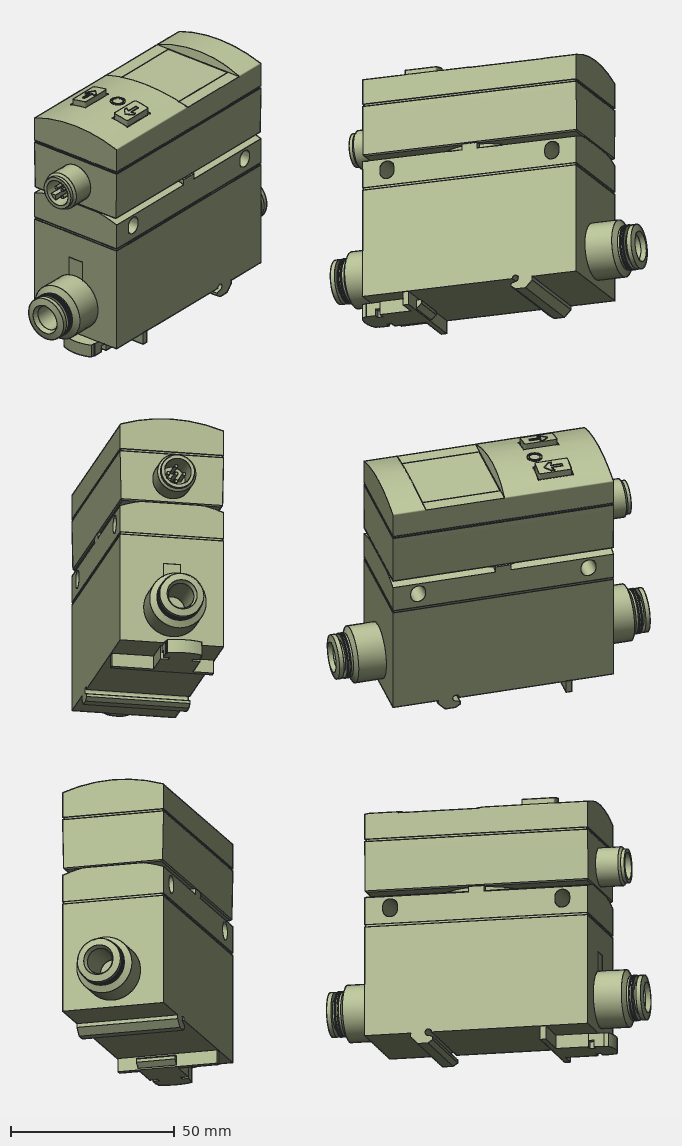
import cadquery as cq
import math


WIDTH = 32.3
LENGTH = 70.2
OVERALL_LENGTH = 99.8
BASE_TOP = 34.1
JOINT_GROOVE = 0.7
BASE_GROOVE_DEPTH = 0.2
CAP_GROOVE_DEPTH = 0.4
TOP_BLOCK_BOTTOM = 45.1
TOP_BLOCK_CHAMFER = 0.4
TAPER_START = 59.3
TAPER = 0.3
CAP_BOTTOM = 61.7
CAP_CREST = 72.3
DOME_RADIUS = 49.2
CAP_EDGE_FILLET = 0.4

GAP_CREST = 46.0
HUB_DIAMETER = 28.9
WEB_LENGTH = 5.0

SLOT_WIDTH = 4.7
SLOT_HEIGHT = 5.6
SLOT_PITCH = 54.2
SLOT_Z = 39.7

WINDOW_FLOOR = 69.5
WINDOW_FRONT = -0.4
WINDOW_BACK = 24.6
WINDOW_LEAN = 0.8
PANE_WIDTH = 23.3
PANE_MARGIN = 0.15
PANE_DEPTH = 0.1

BUTTON_X = 8.2
BUTTON_Y = -18.2
BUTTON_WIDTH = 5.2
BUTTON_LENGTH = 10.4
BUTTON_RISE = 1.7
BUTTON_CORNER = 0.5
BUTTON_CLEARANCE = 0.4
BUTTON_FLOOR = 70.5
ARROW_LENGTH = 5.8
ARROW_HEAD = 3.6
ARROW_STEM = 0.9
ARROW_BARB_START = 2.2
ARROW_BARB_END = 2.9
ARROW_DEPTH = 0.2
LAMP_Y = -14.6
LAMP_OUTER = 4.6
LAMP_INNER = 3.4
LAMP_GROOVE_FLOOR = 72.0

FITTING_Z = 11.0
FITTING_LENGTH = (OVERALL_LENGTH - LENGTH) / 2
BARREL_DIAMETER = 17.7
BARREL_LENGTH = 8.8
CONE_END = 9.9
COLLAR_DIAMETER = 13.6
RING_DIAMETER = 14.0
RING_STARTS = (10.6, 11.5)
RING_WIDTH = 0.4
NECK_DIAMETER = 9.8
NECK_LENGTH = 1.1
FLANGE_LENGTH = 1.9
FLANGE_DIAMETER = 13.8
FLANGE_CROWN = 0.5
BORE_DIAMETER = 8.0
BORE_MOUTH = 9.4
MOUTH_DEPTH = 1.5

LABEL_WIDTH = 5.3
LABEL_TOP = 25.5
LABEL_DEPTH = 0.1
LABEL_OVERLAP = 1.0

PLUG_Z = 52.6
PLUG_DIAMETER = 12.0
PLUG_LENGTH = 8.8
PLUG_BODY_LENGTH = 7.0
PLUG_CONE_END = 7.7
PLUG_TIP_DIAMETER = 10.5
SOCKET_DIAMETER = 8.3
PIN_DIAMETER = 1.0
PIN_LENGTH = 6.4
PIN_OFFSET = 2.45
KEY_LENGTH = 7.4
KEY_X = -1.9
KEY_Z = -2.0

HOOK_BACK = 20.7
HOOK_FRONT = 13.7
HOOK_HEIGHT = 3.4
HOOK_SHANK = 1.2
HOOK_BACK_BEVEL = 2.2
HOOK_FRONT_BEVEL = 1.5
HOOK_TIP_TOP = 1.5
HOOK_TIP_BOTTOM = 2.4
HOOK_RELIEF_DIAMETER = 2.0
HOOK_RELIEF_Y = 15.1

SLIDE_HEIGHT = 4.2
BAR_WIDTH = 31.8
BAR_BACK = -20.1
BAR_THICKNESS = 1.8
TAB_X = 3.3
STEM_WIDTH = 12.4
TAB_WIDTH = 11.4
TAB_BACK = -32.0
TAB_SIDE_END = -36.8
TAB_STEP = 0.3
TAB_CORNER_Y = -38.1
TAB_END = -39.3
NOTCH_LENGTH = 1.6
NOTCH_HEIGHT = 2.1
NOTCH_DEPTH = 2.0
NOSE_REACH = 1.7
NOSE_BEVEL = 0.3
NOSE_TOP = 0.9
NOSE_TIP_BOTTOM = 2.2
NOSE_ROOT_BOTTOM = 3.7

HALF_WIDTH = WIDTH / 2
FRONT = -LENGTH / 2


def block(width, length, bottom, top):
    """Box centred on X and Y between two heights."""
    return cq.Workplane("XY").workplane(offset=bottom).rect(width, length).extrude(top - bottom)


def box_between(x0, x1, y0, y1, z0, z1):
    return cq.Workplane("XY").box(x1 - x0, y1 - y0, z1 - z0, centered=False).translate((x0, y0, z0))


def dome_height(crest, x):
    """Height of the dome surface at a distance x from its crest line."""
    return crest - DOME_RADIUS + math.sqrt(DOME_RADIUS**2 - x**2)


def domed_block(bottom, crest):
    """Full-size block whose top is a shallow cylinder along Y."""
    edge = dome_height(crest, HALF_WIDTH)
    return (
        cq.Workplane("XZ")
        .moveTo(-HALF_WIDTH, bottom)
        .lineTo(HALF_WIDTH, bottom)
        .lineTo(HALF_WIDTH, edge)
        .threePointArc((0, crest), (-HALF_WIDTH, edge))
        .close()
        .extrude(LENGTH / 2, both=True)
    )


def cylinder_to_front(diameter, z, start, end, x=0):
    """Cylinder along Y, measured outward from the front face of the housing."""
    return (
        cq.Workplane("XZ", origin=(x, FRONT - start, z)).circle(diameter / 2).extrude(end - start)
    )


def turned(profile, z):
    """Turn (radius, distance from the front face) points about an axis along Y."""
    points = [(radius, FRONT - distance) for radius, distance in profile]
    return (
        cq.Workplane("XY").polyline(points).close()
        .revolve(360, (0, 0, 0), (0, 1, 0))
        .translate((0, 0, z))
    )


def make_electronics_block():
    profile = [
        (HALF_WIDTH - TAPER, TOP_BLOCK_BOTTOM),
        (HALF_WIDTH, TAPER_START),
        (HALF_WIDTH, CAP_BOTTOM - JOINT_GROOVE),
        (-HALF_WIDTH, CAP_BOTTOM - JOINT_GROOVE),
        (-HALF_WIDTH, TAPER_START),
        (-HALF_WIDTH + TAPER, TOP_BLOCK_BOTTOM),
    ]
    electronics = cq.Workplane("XZ").polyline(profile).close().extrude(LENGTH / 2, both=True)
    return electronics.faces("<Z").chamfer(TOP_BLOCK_CHAMFER)


def make_joint(bottom, depth):
    """Inset layer that forms a shadow groove around the housing."""
    inset = 2 * depth
    return block(WIDTH - inset, LENGTH - inset, bottom, bottom + JOINT_GROOVE)


def make_middle_block():
    """Block with a domed top, a swivel hub and a full-width web under the electronics block."""
    bottom = BASE_TOP + JOINT_GROOVE
    below_gap = domed_block(bottom, GAP_CREST)
    hub = (
        cq.Workplane("XY").workplane(offset=bottom)
        .circle(HUB_DIAMETER / 2).extrude(TOP_BLOCK_BOTTOM - bottom)
    )
    web = block(WIDTH, WEB_LENGTH, bottom, TOP_BLOCK_BOTTOM)
    middle = below_gap.intersect(block(WIDTH, LENGTH, bottom, TOP_BLOCK_BOTTOM))
    slots = (
        cq.Workplane("YZ").workplane(offset=-HALF_WIDTH)
        .pushPoints([(-SLOT_PITCH / 2, SLOT_Z), (SLOT_PITCH / 2, SLOT_Z)])
        .slot2D(SLOT_HEIGHT, SLOT_WIDTH, 90)
        .extrude(WIDTH)
    )
    return middle.union(hub).union(web).cut(slots)


def make_window_cut():
    """Display window with leaning end walls, and the pane recess in its floor."""
    height = CAP_CREST - WINDOW_FLOOR
    profile = [
        (WINDOW_FRONT, WINDOW_FLOOR),
        (WINDOW_BACK, WINDOW_FLOOR),
        (WINDOW_BACK + WINDOW_LEAN, WINDOW_FLOOR + height),
        (WINDOW_FRONT - WINDOW_LEAN, WINDOW_FLOOR + height),
    ]
    window = (
        cq.Workplane("YZ").polyline(profile).close().extrude(HALF_WIDTH, both=True)
    )
    pane = box_between(
        -PANE_WIDTH / 2, PANE_WIDTH / 2,
        WINDOW_FRONT + PANE_MARGIN, WINDOW_BACK - PANE_MARGIN,
        WINDOW_FLOOR - PANE_DEPTH, WINDOW_FLOOR,
    )
    return window.union(pane)


def make_arrow():
    """Arrow pointing to +Y, centred on the origin, tall enough to cut through a button top."""
    tip = ARROW_LENGTH / 2
    stem = ARROW_STEM / 2
    barb = ARROW_HEAD / 2
    right_side = [
        (stem, -tip),
        (stem, tip - ARROW_BARB_START),
        (barb, tip - ARROW_BARB_END),
        (barb, tip - barb),
    ]
    left_side = [(-x, y) for x, y in reversed(right_side)]
    points = right_side + [(0, tip)] + left_side
    return cq.Workplane("XY").polyline(points).close().extrude(CAP_CREST)


def make_button(side):
    """Button whose top follows the dome, with an engraved arrow."""
    blank = (
        cq.Workplane("XY", origin=(side * BUTTON_X, BUTTON_Y, BUTTON_FLOOR))
        .rect(BUTTON_WIDTH, BUTTON_LENGTH)
        .extrude(CAP_CREST)
        .edges("|Z").fillet(BUTTON_CORNER)
    )
    button = blank.intersect(domed_block(0, CAP_CREST + BUTTON_RISE))
    turn = 0 if side < 0 else 180
    arrow = (
        make_arrow().rotate((0, 0, 0), (0, 0, 1), turn)
        .translate((side * BUTTON_X, BUTTON_Y, BUTTON_FLOOR))
    )
    engraving = arrow.cut(domed_block(0, CAP_CREST + BUTTON_RISE - ARROW_DEPTH))
    return button.cut(engraving)


def make_cap():
    cap = domed_block(CAP_BOTTOM, CAP_CREST)
    cap = cap.edges("|Y").edges(">Z").fillet(CAP_EDGE_FILLET)
    cap = cap.cut(make_window_cut())
    lamp_groove = (
        cq.Workplane("XY", origin=(0, LAMP_Y, LAMP_GROOVE_FLOOR))
        .circle(LAMP_OUTER / 2).circle(LAMP_INNER / 2).extrude(CAP_CREST - LAMP_GROOVE_FLOOR)
    )
    cap = cap.cut(lamp_groove)
    for side in (-1, 1):
        opening = (
            cq.Workplane("XY", origin=(side * BUTTON_X, BUTTON_Y, BUTTON_FLOOR))
            .rect(BUTTON_WIDTH + 2 * BUTTON_CLEARANCE, BUTTON_LENGTH + 2 * BUTTON_CLEARANCE)
            .extrude(CAP_CREST)
        )
        cap = cap.cut(opening).union(make_button(side))
    return cap


def make_fitting():
    """Push-in tube fitting on the front face."""
    barrel = BARREL_DIAMETER / 2
    collar = COLLAR_DIAMETER / 2
    neck = NECK_DIAMETER / 2
    flange = FLANGE_DIAMETER / 2
    flange_start = FITTING_LENGTH - FLANGE_LENGTH
    neck_start = flange_start - NECK_LENGTH
    rim = FITTING_LENGTH - FLANGE_CROWN
    fitting = turned(
        [
            (BORE_DIAMETER / 2, 0),
            (barrel, 0),
            (barrel, BARREL_LENGTH),
            (collar, CONE_END),
            (collar, neck_start),
            (neck, neck_start),
            (neck, flange_start),
            (flange, flange_start),
            (flange, rim),
            (BORE_MOUTH / 2, FITTING_LENGTH),
            (BORE_DIAMETER / 2, FITTING_LENGTH - MOUTH_DEPTH),
        ],
        FITTING_Z,
    )
    for start in RING_STARTS:
        ring = cylinder_to_front(RING_DIAMETER, FITTING_Z, start, start + RING_WIDTH)
        core = cylinder_to_front(COLLAR_DIAMETER, FITTING_Z, start, start + RING_WIDTH)
        fitting = fitting.union(ring.cut(core))
    return fitting


def make_plug():
    """Round electrical plug with five contact pins and a coding key."""
    shell = turned(
        [
            (0, 0),
            (PLUG_DIAMETER / 2, 0),
            (PLUG_DIAMETER / 2, PLUG_BODY_LENGTH),
            (PLUG_TIP_DIAMETER / 2, PLUG_CONE_END),
            (PLUG_TIP_DIAMETER / 2, PLUG_LENGTH),
            (0, PLUG_LENGTH),
        ],
        PLUG_Z,
    )
    socket = cylinder_to_front(SOCKET_DIAMETER, PLUG_Z, 0, PLUG_LENGTH)
    reach = SOCKET_DIAMETER / 2
    key_corner = box_between(
        -reach, KEY_X, FRONT - KEY_LENGTH, FRONT, PLUG_Z - reach, PLUG_Z + KEY_Z
    )
    plug = shell.cut(socket).union(key_corner.intersect(socket))
    offsets = [(0, 0), (PIN_OFFSET, 0), (-PIN_OFFSET, 0), (0, PIN_OFFSET), (0, -PIN_OFFSET)]
    for x, z in offsets:
        plug = plug.union(cylinder_to_front(PIN_DIAMETER, PLUG_Z + z, 0, PIN_LENGTH, x))
    return plug


def make_hook():
    """Full-width hook that grips the fixed edge of a rail; it points towards the front."""
    return (
        cq.Workplane("YZ")
        .moveTo(HOOK_BACK, 0)
        .lineTo(HOOK_BACK, -HOOK_SHANK)
        .lineTo(HOOK_BACK - HOOK_BACK_BEVEL, -HOOK_HEIGHT)
        .lineTo(HOOK_FRONT + HOOK_FRONT_BEVEL, -HOOK_HEIGHT)
        .lineTo(HOOK_FRONT, -HOOK_TIP_BOTTOM)
        .lineTo(HOOK_FRONT, -HOOK_TIP_TOP)
        .lineTo(HOOK_RELIEF_Y, -HOOK_RELIEF_DIAMETER / 2)
        .lineTo(HOOK_RELIEF_Y, 0)
        .close()
        .extrude(HALF_WIDTH, both=True)
    )


def make_housing():
    housing = block(WIDTH, LENGTH, 0, BASE_TOP)
    housing = housing.union(make_joint(BASE_TOP, BASE_GROOVE_DEPTH))
    housing = housing.union(make_middle_block())
    housing = housing.union(make_electronics_block())
    housing = housing.union(make_joint(CAP_BOTTOM - JOINT_GROOVE, CAP_GROOVE_DEPTH))
    housing = housing.union(make_cap())

    label_bottom = FITTING_Z + BARREL_DIAMETER / 2 - LABEL_OVERLAP
    label = box_between(
        -LABEL_WIDTH / 2, LABEL_WIDTH / 2, FRONT, FRONT + LABEL_DEPTH, label_bottom, LABEL_TOP
    )
    housing = housing.cut(label)
    fitting = make_fitting()
    housing = housing.union(fitting).union(fitting.mirror("XZ"))
    housing = housing.union(make_plug())

    relief = (
        cq.Workplane("YZ").center(HOOK_RELIEF_Y, 0)
        .circle(HOOK_RELIEF_DIAMETER / 2).extrude(HALF_WIDTH, both=True)
    )
    return housing.union(make_hook()).cut(relief)


def make_slide():
    """Sliding rail latch: a cross bar with a nose, a stem and a finger tab."""
    bar_front = BAR_BACK - BAR_THICKNESS
    bar = box_between(-BAR_WIDTH / 2, BAR_WIDTH / 2, bar_front, BAR_BACK, -SLIDE_HEIGHT, 0)
    stem_left = TAB_X - STEM_WIDTH / 2
    stem_right = TAB_X + STEM_WIDTH / 2
    stem = box_between(stem_left, stem_right, TAB_BACK, bar_front, -SLIDE_HEIGHT, 0)
    left = TAB_X - TAB_WIDTH / 2
    right = TAB_X + TAB_WIDTH / 2
    tab = (
        cq.Workplane("XY")
        .moveTo(left, TAB_BACK)
        .lineTo(left, TAB_SIDE_END)
        .lineTo(left + TAB_STEP, TAB_SIDE_END)
        .lineTo(left + TAB_STEP, TAB_CORNER_Y)
        .threePointArc((TAB_X, TAB_END), (right - TAB_STEP, TAB_CORNER_Y))
        .lineTo(right - TAB_STEP, TAB_SIDE_END)
        .lineTo(right, TAB_SIDE_END)
        .lineTo(right, TAB_BACK)
        .close()
        .extrude(-SLIDE_HEIGHT)
    )
    for start in (left, right - NOTCH_DEPTH):
        notch = box_between(
            start, start + NOTCH_DEPTH, TAB_BACK - NOTCH_LENGTH, TAB_BACK,
            -SLIDE_HEIGHT, NOTCH_HEIGHT - SLIDE_HEIGHT,
        )
        tab = tab.cut(notch)
    nose_tip = BAR_BACK + NOSE_REACH
    nose = (
        cq.Workplane("YZ", origin=(stem_left, 0, 0))
        .moveTo(BAR_BACK, -NOSE_TOP)
        .lineTo(nose_tip - NOSE_BEVEL, -NOSE_TOP)
        .lineTo(nose_tip, -NOSE_TOP - NOSE_BEVEL)
        .lineTo(nose_tip, -NOSE_TIP_BOTTOM)
        .lineTo(BAR_BACK, -NOSE_ROOT_BOTTOM)
        .close()
        .extrude(STEM_WIDTH)
    )
    return bar.union(stem).union(tab).union(nose)


housing = make_housing()
slide = make_slide()

result = cq.Compound.makeCompound([housing.val(), slide.val()])